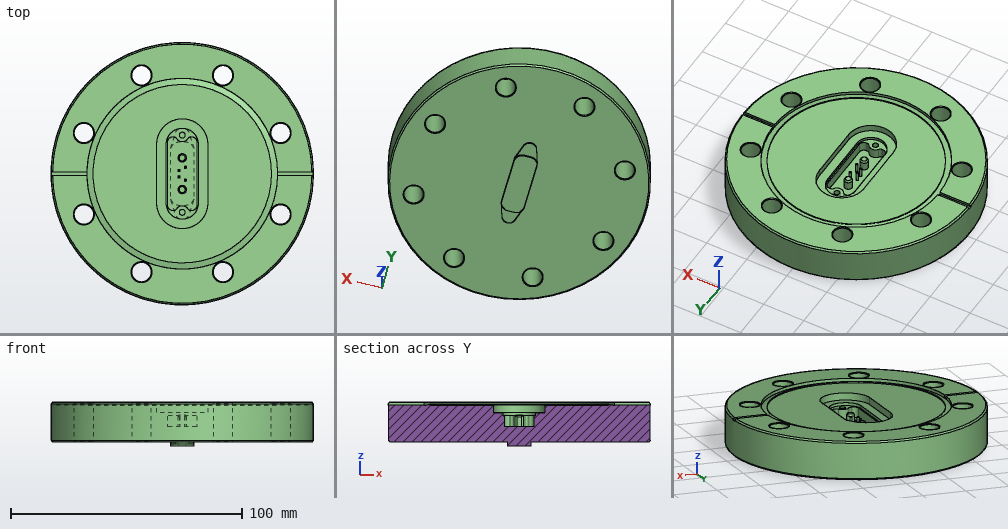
import cadquery as cq
import math

flange_dia = 113.54
overall_height = 19.02
rear_boss_height = 1.72
flange_thickness = overall_height - rear_boss_height
rim_chamfer = 0.7

bolt_count = 8
bolt_circle_dia = 92.1
bolt_hole_dia = 8.4
bolt_hole_chamfer = 0.35

recess_dia = 82.5
knife_dia = 77.2
recess_depth = 1.4
knife_depth = 0.75
sealing_floor_depth = 1.25

groove_width = 1.7
groove_depth = 1.1

opening_length = 47.5
opening_width = 22.2
opening_depth = 3.2
window_length = 39.3
window_width = 14.0
window_depth = 1.3

cavity_length = 31.8
cavity_width = 12.7
cavity_depth = 4.7
cavity_corner_radius = 2.2
screw_offset = 16.7
screw_hole_dia = 2.56
screw_hole_depth = 4.0
screw_boss_radius = 2.85
screw_boss_blend = 1.5

power_pin_dia = 3.61
power_pin_offset = 6.86
power_pin_height = 4.9
power_pin_points = [(0, power_pin_offset), (0, -power_pin_offset)]
power_pin_tip_inset = 0.5
power_pin_tip_length = 0.9
signal_pin_dia = 1.02
signal_pin_height = 4.6
signal_pin_tip = 0.2
signal_pin_x = 1.38
signal_pin_inner_y = 1.38
signal_pin_outer_y = 2.77
signal_pin_points = [
    (signal_pin_x, signal_pin_outer_y),
    (-signal_pin_x, signal_pin_inner_y),
    (-signal_pin_x, -signal_pin_inner_y),
    (signal_pin_x, -signal_pin_outer_y),
]

shell_length = 27.3
shell_width = 10.2
shell_corner_radius = 3.55
ear_height = 0.75
ear_root_offset = 11.05
ear_nose_radius = 3.1

sealing_floor_z = flange_thickness - sealing_floor_depth
opening_floor_z = sealing_floor_z - opening_depth
window_floor_z = opening_floor_z - window_depth
cavity_floor_z = window_floor_z - cavity_depth


def slot_cut(length, width, top_z, depth):
    """Round-ended slot along Y, reaching down from top_z."""
    return cq.Workplane("XY", origin=(0, 0, top_z)).slot2D(length, width, 90).extrude(-depth)


def make_flange():
    """Plain disc with both rims chamfered."""
    disc = cq.Workplane("XY").circle(flange_dia / 2).extrude(flange_thickness)
    return disc.faces("<Z or >Z").edges().chamfer(rim_chamfer)


def bolt_holes():
    """Through holes chamfered at both mouths, straddling the X and Y axes."""
    hole = cq.Workplane("XY").circle(bolt_hole_dia / 2).extrude(flange_thickness)
    mouth_radius = bolt_hole_dia / 2 + bolt_hole_chamfer
    top_mouth = cq.Workplane("XY", origin=(0, 0, flange_thickness)).circle(mouth_radius)
    bottom_mouth = cq.Workplane("XY").circle(mouth_radius)
    hole = hole.union(top_mouth.extrude(-bolt_hole_chamfer, taper=45))
    hole = hole.union(bottom_mouth.extrude(bolt_hole_chamfer, taper=45))
    half_pitch = 180 / bolt_count
    places = cq.Workplane("XY").polarArray(bolt_circle_dia / 2, half_pitch, 360, bolt_count)
    return places.eachpoint(lambda place: hole.val().moved(place), combine=False)


def sealing_recess():
    """Revolved cut: upright outer wall, slope rising inward to the knife edge, flat floor inside."""
    profile = [
        (0, flange_thickness),
        (recess_dia / 2, flange_thickness),
        (recess_dia / 2, flange_thickness - recess_depth),
        (knife_dia / 2, flange_thickness - knife_depth),
        (knife_dia / 2, sealing_floor_z),
        (0, sealing_floor_z),
    ]
    return cq.Workplane("XZ").polyline(profile).close().revolve(360, (0, 0), (0, 1))


def leak_check_grooves():
    """One groove on each side, from the rim in to the sealing recess."""
    top_plane = cq.Workplane("XY", origin=(0, 0, flange_thickness))
    bar = top_plane.rect(flange_dia, groove_width).extrude(-groove_depth)
    core = cq.Workplane("XY").circle(recess_dia / 2).extrude(flange_thickness)
    return bar.cut(core)


def contact_cavity():
    """Rounded rectangle narrowed at each end by a half-round boss around the screw hole."""
    plane = cq.Workplane("XY", origin=(0, 0, window_floor_z))
    cavity = plane.rect(cavity_width, cavity_length).extrude(-cavity_depth)
    cavity = cavity.edges("|Z").fillet(cavity_corner_radius)
    bosses = plane.pushPoints([(0, screw_offset), (0, -screw_offset)]).circle(screw_boss_radius)
    cavity = cavity.cut(bosses.extrude(-cavity_depth))
    blend_edges = cq.selectors.BoxSelector(
        (-screw_boss_radius, -cavity_length, 0),
        (screw_boss_radius, cavity_length, flange_thickness),
    )
    return cavity.edges("|Z").edges(blend_edges).fillet(screw_boss_blend)


def screw_holes():
    """Blind holes in the two bosses at the ends of the cavity."""
    plane = cq.Workplane("XY", origin=(0, 0, window_floor_z))
    centers = plane.pushPoints([(0, screw_offset), (0, -screw_offset)])
    return centers.circle(screw_hole_dia / 2).extrude(-screw_hole_depth)


def pins(points, diameter, height, tip_inset, tip_length):
    """Round posts on the cavity floor with a chamfered tip."""
    radius = diameter / 2
    profile = [
        (0, 0),
        (radius, 0),
        (radius, height - tip_length),
        (radius - tip_inset, height),
        (0, height),
    ]
    post = cq.Workplane("XZ").polyline(profile).close().revolve(360, (0, 0), (0, 1))
    plane = cq.Workplane("XY", origin=(0, 0, cavity_floor_z))
    places = plane.pushPoints(points)
    return places.eachpoint(lambda place: post.val().moved(place), combine=False)


def rear_shell():
    """Rounded rectangular shell standing out below the flange."""
    plate = cq.Workplane("XY").rect(shell_width, shell_length).extrude(-rear_boss_height)
    return plate.edges("|Z").fillet(shell_corner_radius)


def rear_ears():
    """Ears tapering from the shell width to a round nose concentric with each screw hole."""
    root_x = shell_width / 2
    drop = screw_offset - ear_root_offset
    root_distance = math.hypot(root_x, drop)
    tangent_angle = math.acos(ear_nose_radius / root_distance) - math.atan2(drop, root_x)
    tangent_x = ear_nose_radius * math.cos(tangent_angle)
    tangent_y = screw_offset + ear_nose_radius * math.sin(tangent_angle)
    ear = (
        cq.Workplane("XY")
        .moveTo(-root_x, ear_root_offset)
        .lineTo(root_x, ear_root_offset)
        .lineTo(tangent_x, tangent_y)
        .threePointArc((0, screw_offset + ear_nose_radius), (-tangent_x, tangent_y))
        .close()
        .extrude(-ear_height)
    )
    return ear.union(ear.mirror("XZ"))


power_pins = pins(
    power_pin_points, power_pin_dia, power_pin_height, power_pin_tip_inset, power_pin_tip_length
)
signal_pins = pins(signal_pin_points, signal_pin_dia, signal_pin_height, signal_pin_tip, signal_pin_tip)

result = (
    make_flange()
    .cut(bolt_holes())
    .cut(sealing_recess())
    .cut(leak_check_grooves())
    .cut(slot_cut(opening_length, opening_width, sealing_floor_z, opening_depth))
    .cut(slot_cut(window_length, window_width, opening_floor_z, window_depth))
    .cut(contact_cavity())
    .cut(screw_holes())
    .union(power_pins)
    .union(signal_pins)
    .union(rear_shell())
    .union(rear_ears())
)